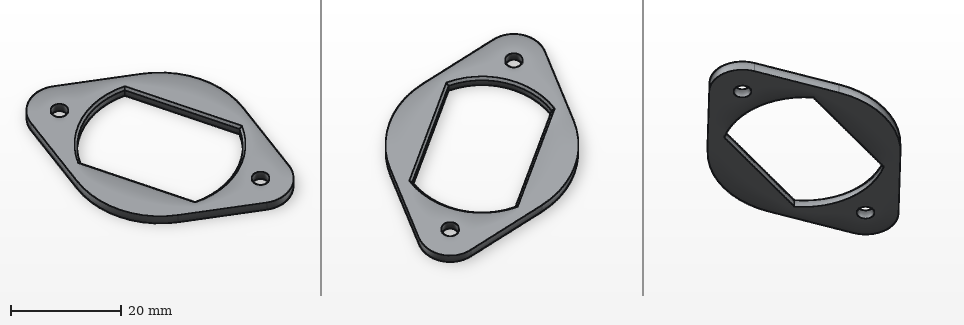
import cadquery as cq
import math

thickness = 2.0
body_radius = 17.5
ear_radius = 6.0
ear_offset = 20.0
screw_hole_diameter = 3.2

opening_radius = 15.0
opening_height = 19.5
opening_chamfer = 0.5


def plate():
    """Round body with two ears, joined by common tangent lines."""
    tangent_cos = (body_radius - ear_radius) / ear_offset
    tangent_sin = math.sqrt(1 - tangent_cos**2)
    body_x = body_radius * tangent_cos
    body_y = body_radius * tangent_sin
    ear_x = ear_offset + ear_radius * tangent_cos
    ear_y = ear_radius * tangent_sin
    ear_tip_x = ear_offset + ear_radius
    return (
        cq.Workplane("XY")
        .moveTo(-body_x, body_y)
        .threePointArc((0, body_radius), (body_x, body_y))
        .lineTo(ear_x, ear_y)
        .threePointArc((ear_tip_x, 0), (ear_x, -ear_y))
        .lineTo(body_x, -body_y)
        .threePointArc((0, -body_radius), (-body_x, -body_y))
        .lineTo(-ear_x, -ear_y)
        .threePointArc((-ear_tip_x, 0), (-ear_x, ear_y))
        .close()
        .extrude(thickness)
    )


def opening_cutter():
    """Straight-walled core of the flat-sided round opening."""
    half_height = opening_height / 2
    corner_x = math.sqrt(opening_radius**2 - half_height**2)
    return (
        cq.Workplane("XY")
        .moveTo(-corner_x, half_height)
        .lineTo(corner_x, half_height)
        .threePointArc((opening_radius, 0), (corner_x, -half_height))
        .lineTo(-corner_x, -half_height)
        .threePointArc((-opening_radius, 0), (-corner_x, half_height))
        .close()
        .extrude(thickness)
    )


def screw_holes():
    """Through holes concentric with the ears."""
    return (
        cq.Workplane("XY")
        .pushPoints([(-ear_offset, 0), (ear_offset, 0)])
        .circle(screw_hole_diameter / 2)
        .extrude(thickness)
    )


def chamfer_opening(body):
    """Chamfer the upper rim of the central opening."""
    top_face = body.faces(">Z").val()
    rim = top_face.innerWires()[0]
    return body.newObject(rim.Edges()).chamfer(opening_chamfer)


opened_plate = plate().cut(opening_cutter())
result = chamfer_opening(opened_plate).cut(screw_holes())